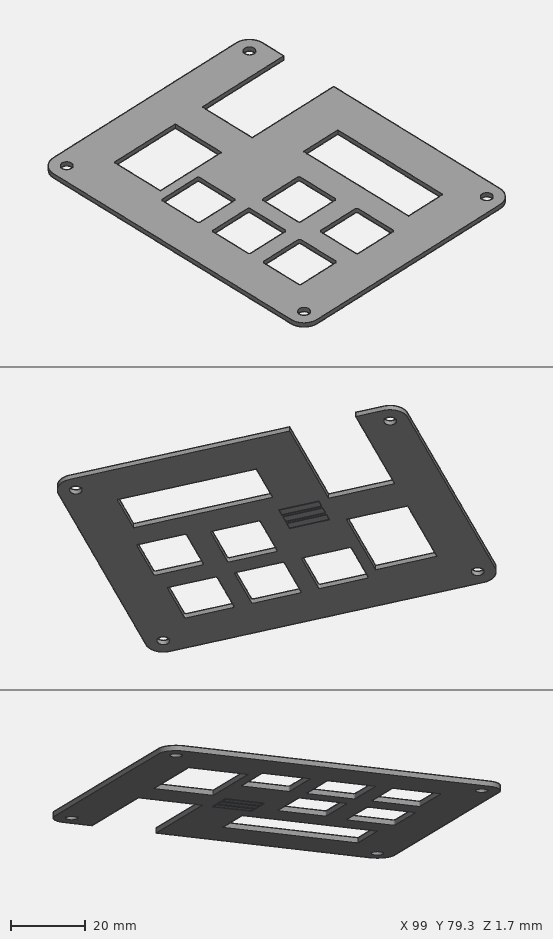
import cadquery as cq

plate_length = 99.0
plate_width = 79.3
plate_thickness = 1.5
corner_radius = 4.95

mount_hole_diameter = 3.4

slot_left = -36.5
slot_width = 18.7
slot_front = 8.7
side_window_length = 17.3
side_window_width = 23.2
side_window_center_y = -13.2

display_length = 39.4
display_width = 13.0
display_center = (15.8, 20.6)

key_size = 14.1
key_pitch = 19.0
key_corner_radius = 0.5
middle_key_x = 9.8
front_row_y = -20.4
offset_key_center = (30.3, -0.2)

strip_height = 0.2
strip_length = 11.3
strip_width = 2.3
strip_count = 3
strip_pitch = 3.1
strip_center_x = -9.3
middle_strip_y = 4.3


def cutter(length, width, center):
    """Rectangular block through the plate, centred on the given XY point."""
    return (
        cq.Workplane("XY")
        .center(*center)
        .rect(length, width)
        .extrude(plate_thickness)
    )


def make_plate():
    return (
        cq.Workplane("XY")
        .rect(plate_length, plate_width)
        .extrude(plate_thickness)
        .edges("|Z")
        .fillet(corner_radius)
    )


def cut_mount_holes(body):
    hole_span_x = plate_length - 2 * corner_radius
    hole_span_y = plate_width - 2 * corner_radius
    return (
        body.faces(">Z")
        .workplane(centerOption="CenterOfBoundBox")
        .rect(hole_span_x, hole_span_y, forConstruction=True)
        .vertices()
        .hole(mount_hole_diameter)
    )


def cut_windows(body):
    slot_length = plate_width / 2 - slot_front
    slot_center = (slot_left + slot_width / 2, slot_front + slot_length / 2)
    side_window_center = (slot_left + side_window_length / 2, side_window_center_y)
    body = body.cut(cutter(slot_width, slot_length, slot_center))
    body = body.cut(cutter(side_window_length, side_window_width, side_window_center))
    return body.cut(cutter(display_length, display_width, display_center))


def cut_keys(body):
    key_centers = [(middle_key_x + column * key_pitch, front_row_y) for column in (-1, 0, 1)]
    key_centers.append((middle_key_x, front_row_y + key_pitch))
    key_centers.append(offset_key_center)
    for center in key_centers:
        key = cutter(key_size, key_size, center).edges("|Z").fillet(key_corner_radius)
        body = body.cut(key)
    return body


def add_strips(body):
    strips = (
        cq.Workplane("XY")
        .center(strip_center_x, middle_strip_y)
        .rarray(strip_length, strip_pitch, 1, strip_count)
        .rect(strip_length, strip_width)
        .extrude(-strip_height)
    )
    return body.union(strips)


result = make_plate()
result = cut_mount_holes(result)
result = cut_windows(result)
result = cut_keys(result)
result = add_strips(result)